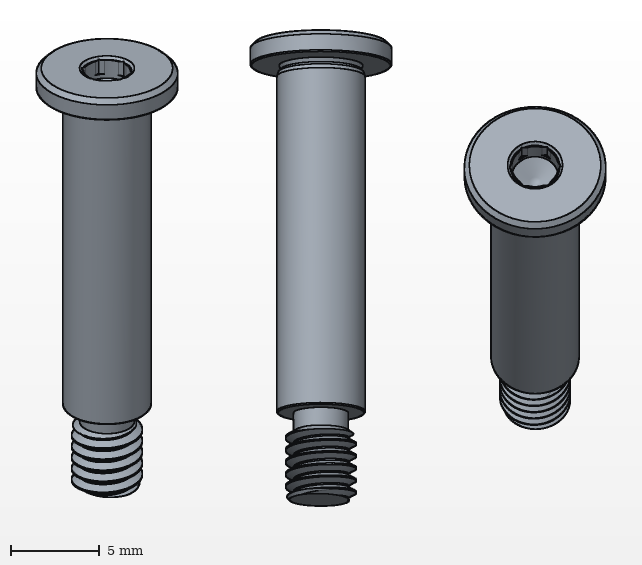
import cadquery as cq
import math

length = 26.3

head_radius = 4.0
head_height = 1.3
head_top_chamfer = 0.3
head_bottom_chamfer = 0.08
head_bottom = length - head_height

shoulder_radius = 2.5
shoulder_bottom = 5.0
shoulder_chamfer = 0.08
groove_top_radius = 2.37
groove_radius = 2.25
groove_bottom_depth = 0.24
lead_radius = 2.42
lead_depth = 0.4
shoulder_top_depth = 0.63

neck_radius = 1.55
thread_radius = 2.0
thread_pitch = 0.35 * thread_radius
thread_top = 3.97
runout_height = 0.32
tip_radius = 1.8
tip_chamfer_height = 0.24
crest_width = 0.09
flank_angle = math.radians(30)
root_overlap = 0.05
first_crest_z = 0.55
crest_clearance = 0.25

hex_across_flats = 2.5
hex_depth = 1.03
drill_radius = 1.32
drill_depth = 1.3
drill_point_angle = 118.0
socket_mouth_radius = 1.55
socket_chamfer_depth = 0.15


def revolve_about_z(points):
    """Revolve a closed outline of (radius, z) points about the Z axis."""
    return cq.Workplane("XZ").polyline(points).close().revolve(360, (0, 0, 0), (0, 1, 0))


def make_body():
    """Head, relief groove, shoulder, neck and the core of the thread."""
    return revolve_about_z([
        (0, 0),
        (neck_radius, 0),
        (neck_radius, shoulder_bottom),
        (shoulder_radius - shoulder_chamfer, shoulder_bottom),
        (shoulder_radius, shoulder_bottom + shoulder_chamfer),
        (shoulder_radius, head_bottom - shoulder_top_depth),
        (lead_radius, head_bottom - lead_depth),
        (groove_radius, head_bottom - groove_bottom_depth),
        (groove_top_radius, head_bottom),
        (head_radius - head_bottom_chamfer, head_bottom),
        (head_radius, head_bottom + head_bottom_chamfer),
        (head_radius, length - head_top_chamfer),
        (head_radius - head_top_chamfer, length),
        (0, length),
    ])


def make_thread():
    """Right-handed helical ridge, trimmed by the tip chamfer and the cone at its upper end."""
    start_z = first_crest_z - 2 * thread_pitch
    helix_height = math.ceil((thread_top - start_z) / thread_pitch + 1) * thread_pitch
    root_radius = neck_radius - root_overlap
    half_crest = crest_width / 2
    half_root = half_crest + (thread_radius - root_radius) * math.tan(flank_angle)
    path = cq.Wire.makeHelix(thread_pitch, helix_height, neck_radius).translate(cq.Vector(0, 0, start_z))
    ridge = (
        cq.Workplane("XZ")
        .polyline([
            (root_radius, start_z - half_root),
            (thread_radius, start_z - half_crest),
            (thread_radius, start_z + half_crest),
            (root_radius, start_z + half_root),
        ])
        .close()
        .sweep(cq.Workplane(obj=path), isFrenet=True)
    )
    tip_slope = (thread_radius - tip_radius) / tip_chamfer_height
    runout_slope = (thread_radius - neck_radius) / runout_height
    outer_radius = thread_radius + crest_clearance
    envelope = revolve_about_z([
        (0, 0),
        (tip_radius, 0),
        (outer_radius, (outer_radius - tip_radius) / tip_slope),
        (outer_radius, thread_top - (outer_radius - neck_radius) / runout_slope),
        (neck_radius, thread_top),
        (0, thread_top),
    ])
    return ridge.intersect(envelope)


def make_socket():
    """Hexagon with corners on the Y axis, a pilot hole with a conical end, and a chamfered mouth."""
    hex_across_corners = hex_across_flats / math.cos(math.radians(30))
    hexagon = (
        cq.Workplane("XY", origin=(0, 0, length))
        .transformed(rotate=(0, 0, 90))
        .polygon(6, hex_across_corners)
        .extrude(-hex_depth)
    )
    point_height = drill_radius / math.tan(math.radians(drill_point_angle / 2))
    chamfer_bottom_radius = socket_mouth_radius - socket_chamfer_depth
    pilot = revolve_about_z([
        (0, length),
        (drill_radius, length),
        (drill_radius, length - drill_depth),
        (0, length - drill_depth - point_height),
    ])
    mouth = revolve_about_z([
        (0, length),
        (socket_mouth_radius, length),
        (chamfer_bottom_radius, length - socket_chamfer_depth),
        (0, length - socket_chamfer_depth),
    ])
    return hexagon.union(pilot).union(mouth)


result = make_body().union(make_thread()).cut(make_socket())